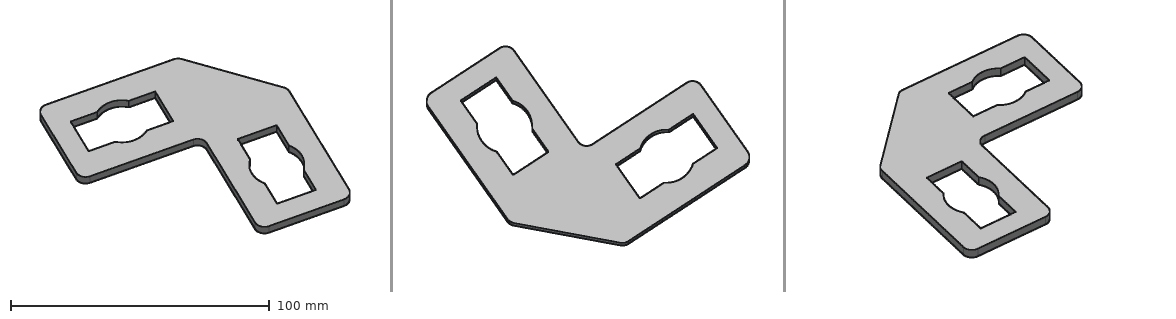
import cadquery as cq

side = 92.0
leg_width = 40.0
thickness = 4.0
corner_chamfer = 32.0
corner_radius = 4.0

window_length = 36.0
window_width = 16.5
window_circle_diameter = 21.3
window_end_margin = 9.0

window_offset = window_end_margin + window_length / 2


def make_plate():
    """L-shaped plate with a cut-off elbow and rounded corners."""
    outline = [
        (0, 0),
        (leg_width, 0),
        (leg_width, side - leg_width),
        (side, side - leg_width),
        (side, side),
        (corner_chamfer, side),
        (0, side - corner_chamfer),
    ]
    plate = cq.Workplane("XY").polyline(outline).close().extrude(thickness)
    return plate.edges("|Z").fillet(corner_radius)


def make_window(center, size_x, size_y):
    """Cutter for one window, centred at the given point."""
    base = cq.Workplane("XY").center(*center)
    slot = base.rect(size_x, size_y).extrude(thickness)
    bulge = base.circle(window_circle_diameter / 2).extrude(thickness)
    return slot.union(bulge)


lower_window = make_window((leg_width / 2, window_offset), window_width, window_length)
right_window = make_window(
    (side - window_offset, side - leg_width / 2), window_length, window_width
)

result = make_plate().cut(lower_window).cut(right_window)